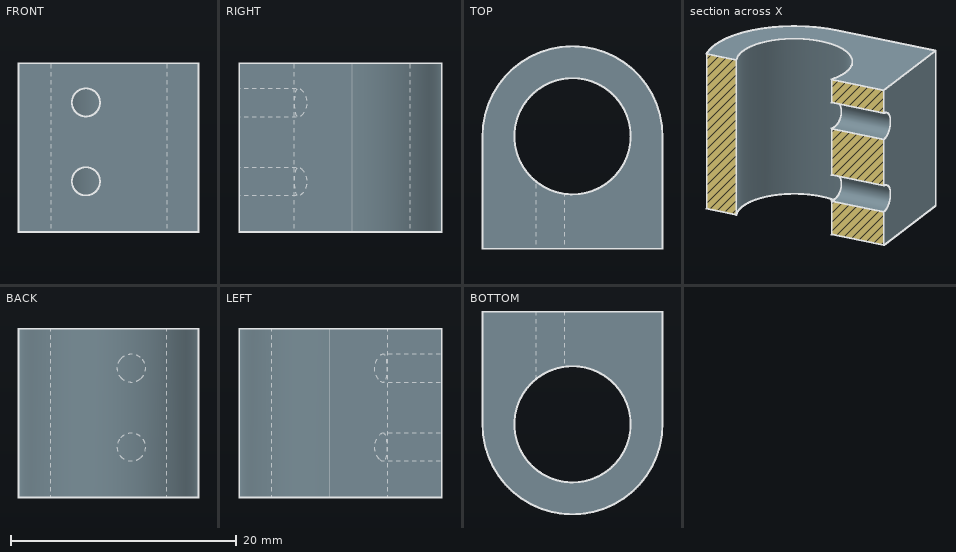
import cadquery as cq

width = 16.0
height = 15.0
back_radius = width / 2
front_distance = 10.0
bore_diameter = 10.3

hole_diameter = 2.5
hole_x = -2.0
lower_hole_z = 4.5
hole_spacing = 7.0
hole_count = 2


def make_body():
    """Extrude the D-shaped outline: flat front, straight sides, round back."""
    return (
        cq.Workplane("XY")
        .moveTo(-back_radius, 0)
        .lineTo(-back_radius, -front_distance)
        .lineTo(back_radius, -front_distance)
        .lineTo(back_radius, 0)
        .threePointArc((0, back_radius), (-back_radius, 0))
        .close()
        .extrude(height)
    )


def make_bore():
    """Round bore through the full height."""
    return cq.Workplane("XY").circle(bore_diameter / 2).extrude(height)


def make_front_holes():
    """Holes stacked one above the other, from the front face into the bore."""
    hole_centres = [(hole_x, lower_hole_z + i * hole_spacing) for i in range(hole_count)]
    return (
        cq.Workplane("XZ", origin=(0, -front_distance, 0))
        .pushPoints(hole_centres)
        .circle(hole_diameter / 2)
        .extrude(-front_distance)
    )


result = make_body().cut(make_bore()).cut(make_front_holes())